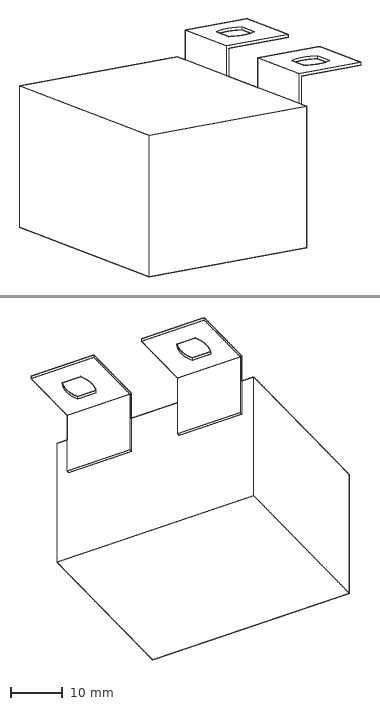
import cadquery as cq

HOUSING_WIDTH = 44.0
HOUSING_DEPTH = 37.2
HOUSING_HEIGHT = 28.45

TERMINAL_SPACING = 24.65
TERMINAL_WIDTH = 14.05
TERMINAL_THICKNESS = 0.6
TERMINAL_REACH = 14.6
TERMINAL_LEG_HEIGHT = 13.95
TERMINAL_RISE = 5.95

HOLE_SPACING = 25.6
HOLE_WIDTH = 5.65
HOLE_END_WIDTH = 4.15
HOLE_LENGTH = 6.05

TERMINAL_TOP = HOUSING_HEIGHT + TERMINAL_RISE


def make_housing():
    return cq.Workplane("XY").box(
        HOUSING_WIDTH, HOUSING_DEPTH, HOUSING_HEIGHT, centered=(True, False, False)
    ).translate((0, -HOUSING_DEPTH, 0))


def make_terminal_hole(center_x):
    half_length = HOLE_LENGTH / 2
    half_width = HOLE_WIDTH / 2
    half_end = HOLE_END_WIDTH / 2
    return (
        cq.Workplane("XY")
        .moveTo(-half_end, -half_length)
        .lineTo(half_end, -half_length)
        .threePointArc((half_width, 0), (half_end, half_length))
        .lineTo(-half_end, half_length)
        .threePointArc((-half_width, 0), (-half_end, -half_length))
        .close()
        .extrude(TERMINAL_THICKNESS)
        .translate((center_x, TERMINAL_REACH / 2, TERMINAL_TOP - TERMINAL_THICKNESS))
    )


def make_terminal(side):
    """Make the terminal on the -X (side = -1) or +X (side = 1) half of the housing."""
    leg_bottom = TERMINAL_TOP - TERMINAL_LEG_HEIGHT
    tab_bottom = TERMINAL_TOP - TERMINAL_THICKNESS
    bracket = (
        cq.Workplane("YZ")
        .moveTo(0, leg_bottom)
        .lineTo(0, TERMINAL_TOP)
        .lineTo(TERMINAL_REACH, TERMINAL_TOP)
        .lineTo(TERMINAL_REACH, tab_bottom)
        .lineTo(TERMINAL_THICKNESS, tab_bottom)
        .lineTo(TERMINAL_THICKNESS, leg_bottom)
        .close()
        .extrude(TERMINAL_WIDTH / 2, both=True)
        .translate((side * TERMINAL_SPACING / 2, 0, 0))
    )
    return bracket.cut(make_terminal_hole(side * HOLE_SPACING / 2))


housing = make_housing()
terminals = [make_terminal(side) for side in (-1, 1)]

result = cq.Compound.makeCompound(
    [housing.val(), *[terminal.val() for terminal in terminals]]
)